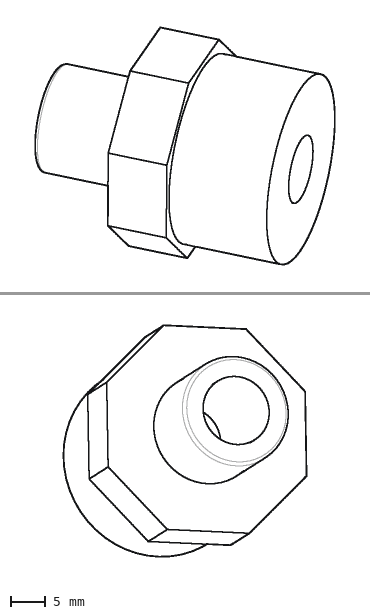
import cadquery as cq
import math

overall_length = 38.0
spigot_length = 14.0
collar_length = 9.0
socket_length = overall_length - spigot_length - collar_length

spigot_diameter = 16.0
socket_diameter = 28.0
bore_diameter = 10.0
spigot_fillet = 0.5

collar_sides = 8
collar_across_flats = 30.0
collar_across_corners = collar_across_flats / math.cos(math.pi / collar_sides)
flats_upright_angle = 180.0 / collar_sides
collar_tilt = -1.0

collar_start = spigot_length
socket_start = collar_start + collar_length


def section_plane(x):
    """Plane across the part at x, facing +X."""
    return cq.Workplane("YZ", origin=(x, 0, 0))


def bore(start, length):
    """Cylinder that clears the passage over one stretch of the X axis."""
    return section_plane(start).circle(bore_diameter / 2).extrude(length)


def make_nipple():
    """Spigot with a rounded tip, carrying the octagonal collar."""
    spigot = (
        section_plane(0)
        .circle(spigot_diameter / 2)
        .extrude(spigot_length)
        .faces("<X")
        .edges()
        .fillet(spigot_fillet)
    )
    collar = (
        section_plane(collar_start)
        .polygon(collar_sides, collar_across_corners)
        .extrude(collar_length)
        .rotate((0, 0, 0), (1, 0, 0), flats_upright_angle + collar_tilt)
    )
    return spigot.union(collar).cut(bore(0, socket_start))


def make_socket():
    """Plain round sleeve butted against the collar."""
    sleeve = section_plane(socket_start).circle(socket_diameter / 2).extrude(socket_length)
    return sleeve.cut(bore(socket_start, socket_length))


nipple = make_nipple()
socket = make_socket()
result = cq.Compound.makeCompound([nipple.val(), socket.val()])